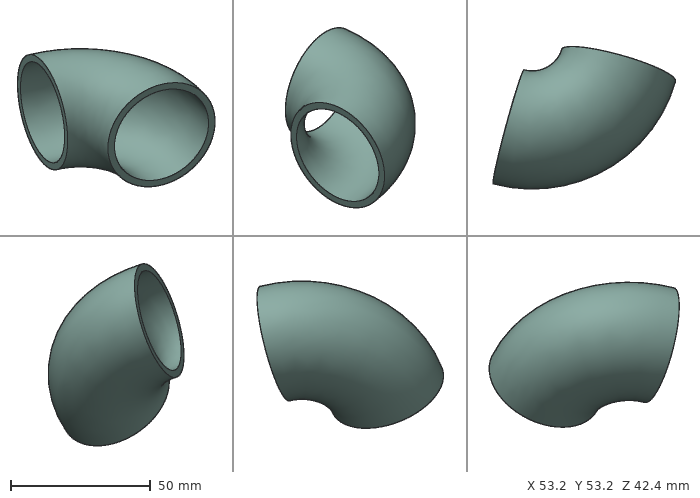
import cadquery as cq

overall_length = 53.2
outer_diameter = 42.4
wall_thickness = 2.6
bend_angle = 90.0

outer_radius = outer_diameter / 2
inner_radius = outer_radius - wall_thickness
bend_radius = overall_length - outer_radius


def pipe_elbow():
    """Sweep the pipe ring clockwise about the vertical bend axis through the origin.

    The ring starts in the XZ plane, facing -Y, and ends in the YZ plane, facing +X.
    """
    ring = (
        cq.Workplane("XZ")
        .center(-bend_radius, 0)
        .circle(outer_radius)
        .circle(inner_radius)
    )
    axis_start = (bend_radius, 0)
    axis_end = (bend_radius, -1)
    return ring.revolve(bend_angle, axis_start, axis_end)


result = pipe_elbow()